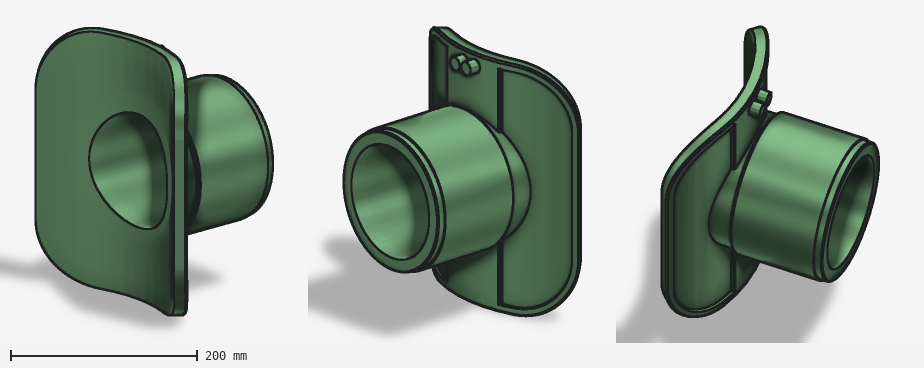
import cadquery as cq
import math

saddle_height = 290.0
inner_radius = 160.0
outer_radius = 174.3
mid_wall_radius = (inner_radius + outer_radius) / 2
corner_radius = 72.0
saddle_chamfer = 2.0
saddle_half_angle = math.radians(45)

pocket_depth = 4.0
pocket_inset = 8.7
band_width = 87.0
pocket_chamfer = 1.5

saddle_low_y = inner_radius * math.cos(saddle_half_angle)
branch_end = saddle_low_y + 172.3
spigot_length = 9.5
spigot_diameter = 157.0
sleeve_length = 97.0
sleeve_diameter = 160.0
collar_diameter = 153.0
collar_length = 1.7
neck_diameter = 152.0
bore_diameter = 128.0
pipe_chamfer = 1.5

terminal_base_diameter = 16.5
terminal_tip_diameter = 15.0
terminal_spacing = 18.0
terminal_z = 130.5
terminal_tip_y = 186.2


def cylinder_y(diameter, start, end):
    """Cylinder along Y between two Y positions."""
    direction = cq.Vector(0, 1, 0)
    base = cq.Vector(0, start, 0)
    return cq.Workplane(cq.Solid.makeCylinder(diameter / 2, end - start, base, direction))


def tube_wall(inner, outer):
    """Full-height tube about Z."""
    return cq.Workplane("XY").circle(outer).circle(inner).extrude(saddle_height / 2, both=True)


def rounded_wedge(inset):
    """Quarter wedge opening toward +Y, its sides and ends moved inward by the inset, with rounded corners."""
    reach = 2 * outer_radius
    apex_y = inset / math.sin(saddle_half_angle)
    side_x = reach * math.tan(saddle_half_angle)
    wedge = (
        cq.Workplane("XY")
        .polyline([(0, apex_y), (side_x, apex_y + reach), (-side_x, apex_y + reach)])
        .close()
        .extrude(saddle_height / 2 - inset, both=True)
    )
    radius = corner_radius - inset
    right_half = cq.Workplane("XY").box(reach * 2, reach * 4, saddle_height).translate((reach, 0, 0))
    right = wedge.intersect(right_half)
    right = right.edges(cq.selectors.ParallelDirSelector(cq.Vector(1, 1, 0))).fillet(radius)
    return right.union(right.mirror("YZ"))


def make_saddle():
    saddle = tube_wall(inner_radius, outer_radius).intersect(rounded_wedge(0)).clean()
    outer_face = saddle.faces(cq.selectors.NearestToPointSelector((0, outer_radius, 0)))
    return outer_face.edges().chamfer(saddle_chamfer)


def make_pockets():
    """Two side pockets with a chamfered edge along the middle band."""
    floor_radius = outer_radius - pocket_depth
    pockets = tube_wall(floor_radius, 2 * outer_radius).intersect(rounded_wedge(pocket_inset))
    half_band = band_width / 2
    mouth_y = math.sqrt(outer_radius**2 - half_band**2)
    slope_bottom_y = mouth_y - pocket_chamfer
    top_half_width = half_band - pocket_chamfer
    band = (
        cq.Workplane("XY")
        .moveTo(-half_band, 0)
        .lineTo(-half_band, slope_bottom_y)
        .lineTo(-top_half_width, mouth_y)
        .lineTo(-top_half_width, outer_radius * 2)
        .lineTo(top_half_width, outer_radius * 2)
        .lineTo(top_half_width, mouth_y)
        .lineTo(half_band, slope_bottom_y)
        .lineTo(half_band, 0)
        .close()
        .extrude(saddle_height / 2, both=True)
    )
    return pockets.cut(band)


def make_branch():
    sleeve_end = branch_end - spigot_length
    sleeve_start = sleeve_end - sleeve_length
    spigot = cylinder_y(spigot_diameter, sleeve_end, branch_end).faces(">Y").edges().chamfer(pipe_chamfer)
    sleeve = cylinder_y(sleeve_diameter, sleeve_start, sleeve_end).faces("<Y").edges().chamfer(pipe_chamfer)
    collar = cylinder_y(collar_diameter, sleeve_start - collar_length, sleeve_start)
    neck = cylinder_y(neck_diameter, 0, sleeve_start)
    inside_saddle = cq.Workplane("XY").circle(mid_wall_radius).extrude(saddle_height / 2, both=True)
    return neck.cut(inside_saddle).union(collar).union(sleeve).union(spigot)


def make_terminal(x):
    return cq.Workplane(
        cq.Solid.makeCone(
            terminal_base_diameter / 2,
            terminal_tip_diameter / 2,
            terminal_tip_y - mid_wall_radius,
            cq.Vector(x, mid_wall_radius, terminal_z),
            cq.Vector(0, 1, 0),
        )
    )


body = make_saddle().cut(make_pockets()).union(make_branch())
for side in (-1, 1):
    body = body.union(make_terminal(side * terminal_spacing / 2))

result = body.cut(cylinder_y(bore_diameter, 0, branch_end))